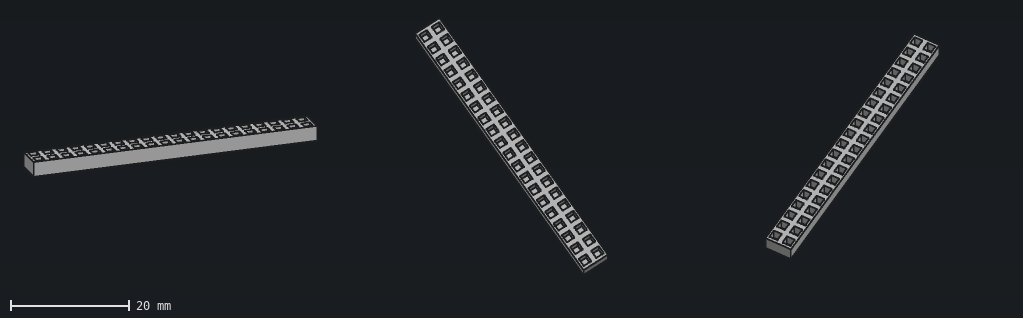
import cadquery as cq

width = 5.0
length = 51.0
height = 2.7

columns = 2
rows = 20
column_pitch = 2.55
end_margin = 1.4
socket_side = 1.55
socket_depth = 2.0

row_pitch = (length - 2 * end_margin) / (rows - 1)


def housing():
    return cq.Workplane("XY").box(width, length, height, centered=(True, True, False))


def sockets():
    return (
        cq.Workplane("XY", origin=(0, 0, height))
        .rarray(column_pitch, row_pitch, columns, rows)
        .rect(socket_side, socket_side)
        .extrude(-socket_depth)
    )


result = housing().cut(sockets())